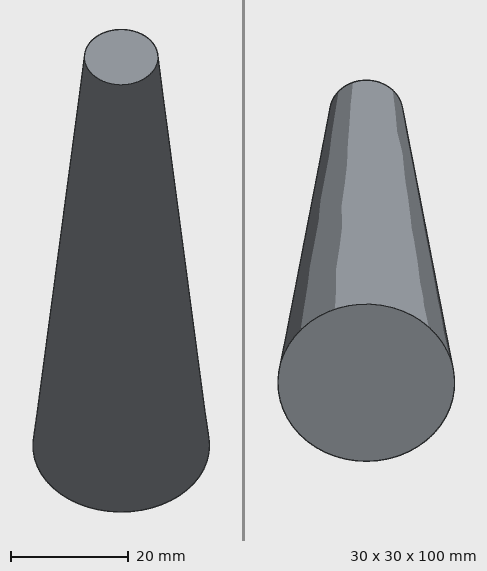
import cadquery as cq

height = 100.0
base_diameter = 30.0
top_diameter = 12.5

half_profile = (
    cq.Workplane("XZ")
    .lineTo(base_diameter / 2, 0)
    .lineTo(top_diameter / 2, height)
    .lineTo(0, height)
    .close()
)

result = half_profile.revolve(360, (0, 0, 0), (0, 1, 0))